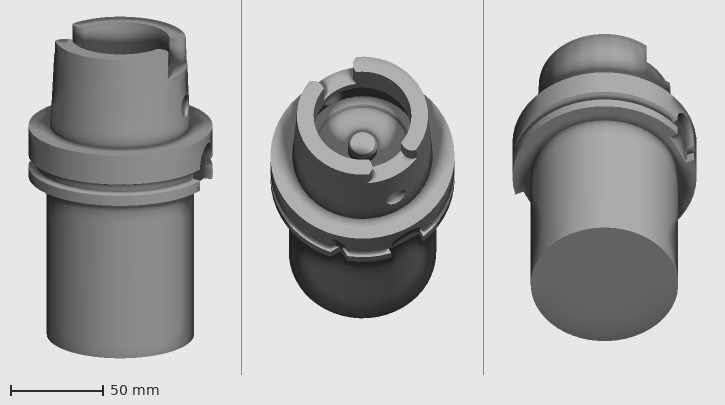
import cadquery as cq
import math

total_height = 169.9
flange_bottom = 91.0
flange_top = 120.0
body_radius = 80.0 / 2
flange_radius = 99.9 / 2

shank_base_radius = 38.0
shank_top_radius = shank_base_radius - (total_height - flange_top) / 20

groove_floor_radius = 45.9
groove_bottom = 96.8
groove_top = 103.3
groove_lower_slope = 0.8
groove_upper_slope = 1.5

bore_radius = 53.0 / 2
undercut_radius = 63.0 / 2
undercut_top = 150.0
undercut_bottom = 129.0
recess_depth = 1.4
boss_radius = 16.0 / 2
boss_top = 135.8
boss_shoulder_z = 132.7
boss_top_radius = 12.0 / 2
boss_edge_radius = 2.0 / 2

cross_hole_radius = 12.0 / 2
cross_hole_z = 135.0

rim_slot_half_width = 10.0
rim_corner_radius = 6.0
rim_lug_reach = 32.5
rim_corner_sweep = math.radians(110)
rim_floor_minus_x = 160.0
rim_floor_plus_x = 155.1

flange_slot_width = 20.0
flange_slot_top = 115.0
flange_slot_floor = 44.0
side_notch_y = 41.6
side_notch_floor = 32.0

clearance = 1.7


def cylinder(radius, bottom, top):
    return cq.Workplane("XY").workplane(offset=bottom).circle(radius).extrude(top - bottom)


def outer_body():
    """Body, grooved flange and tapered shank as one revolved profile."""
    profile = [
        (0, 0),
        (body_radius, 0),
        (body_radius, flange_bottom),
        (flange_radius, flange_bottom),
        (flange_radius, groove_bottom),
        (groove_floor_radius, groove_bottom + groove_lower_slope),
        (groove_floor_radius, groove_top - groove_upper_slope),
        (flange_radius, groove_top),
        (flange_radius, flange_top),
        (shank_base_radius, flange_top),
        (shank_top_radius, total_height),
        (0, total_height),
    ]
    return cq.Workplane("XZ").polyline(profile).close().revolve(360, (0, 0, 0), (0, 1, 0))


def floor_boss(base_z):
    """Central boss with a conical shoulder and a rounded top edge."""
    arc_center_z = boss_top - boss_edge_radius
    arc_lag = boss_edge_radius * math.sqrt(0.5)
    return (
        cq.Workplane("XZ")
        .moveTo(0, base_z)
        .lineTo(boss_radius, base_z)
        .lineTo(boss_radius, boss_shoulder_z)
        .lineTo(boss_top_radius + boss_edge_radius, arc_center_z)
        .threePointArc((boss_top_radius + arc_lag, arc_center_z + arc_lag), (boss_top_radius, boss_top))
        .lineTo(0, boss_top)
        .close()
        .revolve(360, (0, 0, 0), (0, 1, 0))
    )


def shank_cavity():
    """Bore, undercut and chamfered floor recess, less the boss standing in the recess."""
    recess_floor = undercut_bottom - recess_depth
    bore = cylinder(bore_radius, recess_floor, total_height).faces("<Z").chamfer(recess_depth)
    undercut = cylinder(undercut_radius, undercut_bottom, undercut_top)
    return bore.union(undercut).cut(floor_boss(recess_floor))


def cross_holes():
    """Opposed radial holes along X that stop at the undercut wall."""
    hole = (
        cq.Workplane("YZ")
        .center(0, cross_hole_z)
        .circle(cross_hole_radius)
        .extrude(flange_radius, both=True)
    )
    return hole.cut(cylinder(undercut_radius, flange_bottom, total_height))


def rim_slot(side, floor):
    """Drive slot on the side X = side * R, flaring out around the rounded lug corners."""
    arc_center_x = rim_lug_reach - rim_corner_radius
    arc_center_y = rim_slot_half_width + rim_corner_radius

    def corner_point(sweep):
        x = side * (arc_center_x + rim_corner_radius * math.sin(sweep))
        y = arc_center_y - rim_corner_radius * math.cos(sweep)
        return x, y

    arc_start = corner_point(0)
    arc_middle = corner_point(rim_corner_sweep / 2)
    arc_end = corner_point(rim_corner_sweep)
    half_slot = (
        cq.Workplane("XY")
        .workplane(offset=floor)
        .lineTo(0, rim_slot_half_width)
        .lineTo(*arc_start)
        .threePointArc(arc_middle, arc_end)
        .lineTo(side * flange_radius, arc_end[1])
        .lineTo(side * flange_radius, 0)
        .close()
        .extrude(total_height + clearance - floor)
    )
    return half_slot.union(half_slot.mirror("XZ"))


def flange_slot(side, center_y, floor):
    """Round-topped slot, open at the flange underside, with a flat floor at |X| = floor."""
    half_width = flange_slot_width / 2
    spring_z = flange_slot_top - half_width
    return (
        cq.Workplane("YZ")
        .workplane(offset=side * floor)
        .moveTo(center_y - half_width, flange_bottom)
        .lineTo(center_y - half_width, spring_z)
        .threePointArc((center_y, flange_slot_top), (center_y + half_width, spring_z))
        .lineTo(center_y + half_width, flange_bottom)
        .close()
        .extrude(side * (flange_radius + clearance - floor))
    )


result = outer_body().cut(shank_cavity()).cut(cross_holes())
result = result.cut(rim_slot(-1, rim_floor_minus_x))
result = result.cut(rim_slot(1, rim_floor_plus_x))
for slot_side in (-1, 1):
    result = result.cut(flange_slot(slot_side, 0, flange_slot_floor))
result = result.cut(flange_slot(-1, side_notch_y, side_notch_floor))